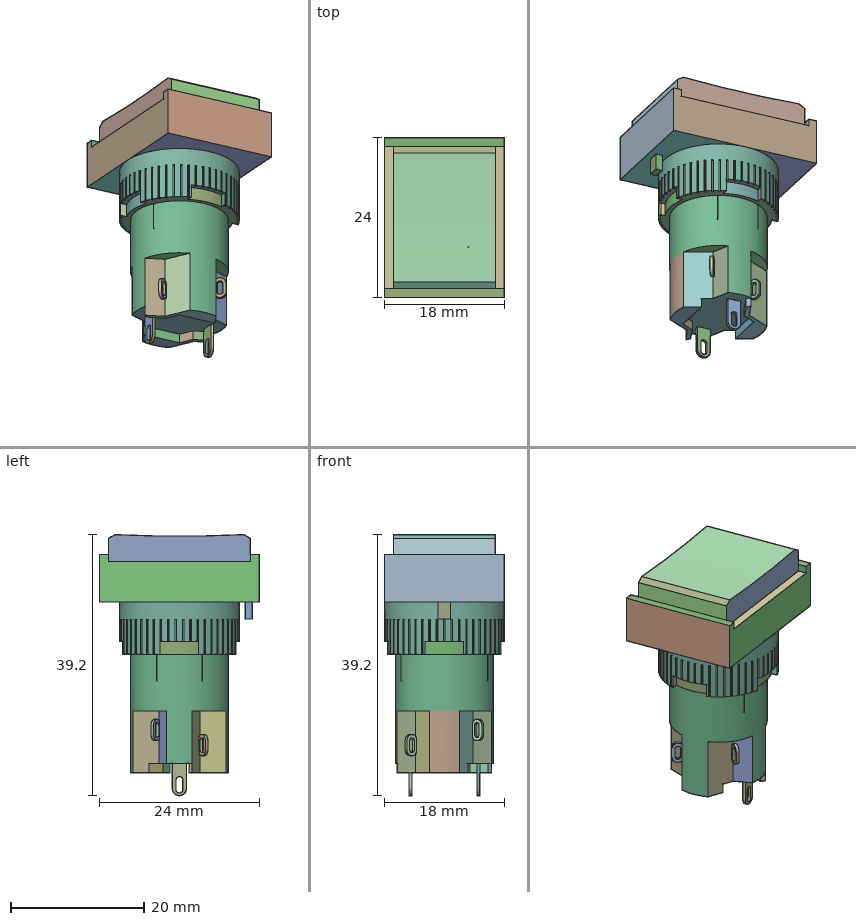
import cadquery as cq
import math


OVERALL_HEIGHT = 39.23

BEZEL_X = 18.0
BEZEL_Y = 24.0
BEZEL_TOP = 7.18
BEZEL_MARGIN = 1.35
CAP_SEAT = 6.1

CAP_X = BEZEL_X - 2 * BEZEL_MARGIN
CAP_Y = BEZEL_Y - 2 * BEZEL_MARGIN
CAP_PEAK = 10.15
CAP_DISH = 0.25
CAP_BEVEL_RUN = 1.0
CAP_BEVEL_DROP = 0.6

KEY_X = 1.9
KEY_Y = 1.05
KEY_DEPTH = 2.55
KEY_OUTER_Y = -10.95

COLLAR_RADIUS = BEZEL_X / 2
COLLAR_BOTTOM = -7.85
COLLAR_ROOT_RADIUS = 8.05
SLOT_COUNT = 50
SLOT_WIDTH = 0.25
SLOT_DEPTH = 0.3
SLOT_TOP = -2.63
COLLAR_NOTCH_WIDTH = 5.8
COLLAR_NOTCH_TOP = -5.9

BARREL_RADIUS = 14.7 / 2
BARREL_BOTTOM = -16.32
TONGUE_WIDTH = 6.75
TONGUE_BOTTOM = -11.85
SLIT_WIDTH = 0.06
SLIT_DEPTH = 0.4

BASE_BOTTOM = -25.6
X_LOBE_HALF_WIDTH = 1.92
Y_LOBE_HALF_WIDTH = 2.28
CORNER_X = 4.3
CORNER_Y = 3.05

RECESS_TOP = -24.2
RECESS_END_Y = 4.6
RECESS_CORNER_X = 3.8
RECESS_CORNER_Y = 2.45
RECESS_NARROW_X = 2.7
RECESS_MOUTH_X = 6.5
RECESS_MOUTH_Y = 1.4

PIN_X = 5.1
PIN_WIDTH = 2.15
PIN_THICKNESS = 0.47
PIN_TIP = CAP_PEAK - OVERALL_HEIGHT
PIN_EYE_WIDTH = 1.0
PIN_EYE_LENGTH = 2.45
PIN_EYE_TOP = -26.2

TAB_INNER_RADIUS = 5.18
TAB_OUTER_RADIUS = 7.05
TAB_THICKNESS = PIN_THICKNESS
TAB_HEIGHT = 3.2
TAB_EYE_WIDTH = 0.85
TAB_HIGH_Z = -19.2
TAB_LOW_Z = -21.45
TAB_ANGLE = math.degrees(math.atan2(CORNER_Y, CORNER_X))


def box_between(x_size, y_size, z_low, z_high, x=0.0, y=0.0):
    """Box centred at (x, y), from z_low to z_high."""
    return cq.Workplane("XY", origin=(x, y, z_low)).rect(x_size, y_size).extrude(z_high - z_low)


def disc_between(radius, z_low, z_high):
    """Cylinder on the Z axis, from z_low to z_high."""
    return cq.Workplane("XY", origin=(0, 0, z_low)).circle(radius).extrude(z_high - z_low)


def make_cap():
    """Cap with bevelled front and back edges and a shallow dished top."""
    half_y = CAP_Y / 2
    peak_y = half_y - CAP_BEVEL_RUN
    shoulder_z = CAP_PEAK - CAP_BEVEL_DROP
    return (
        cq.Workplane("YZ")
        .moveTo(-half_y, CAP_SEAT)
        .lineTo(half_y, CAP_SEAT)
        .lineTo(half_y, shoulder_z)
        .lineTo(peak_y, CAP_PEAK)
        .threePointArc((0, CAP_PEAK - CAP_DISH), (-peak_y, CAP_PEAK))
        .lineTo(-half_y, shoulder_z)
        .close()
        .extrude(CAP_X / 2, both=True)
    )


def make_bezel():
    """Block whose channel along X holds the cap, with the key under its front edge."""
    block = box_between(BEZEL_X, BEZEL_Y, 0, BEZEL_TOP)
    channel = box_between(BEZEL_X, CAP_Y, CAP_SEAT, BEZEL_TOP)
    key = box_between(KEY_X, KEY_Y, -KEY_DEPTH, 0, y=KEY_OUTER_Y + KEY_Y / 2)
    return block.cut(channel).union(key)


def make_collar():
    """Ring with knurling slots and four notches that open its lower rim down to the root."""
    collar = disc_between(COLLAR_RADIUS, COLLAR_BOTTOM, 0)
    slots = (
        cq.Workplane("XY", origin=(0, 0, COLLAR_BOTTOM))
        .polarArray(COLLAR_RADIUS, -90, 360, SLOT_COUNT)
        .rect(2 * SLOT_DEPTH, SLOT_WIDTH)
        .extrude(SLOT_TOP - COLLAR_BOTTOM)
    )
    notch_length = 2 * COLLAR_RADIUS
    notches = box_between(notch_length, COLLAR_NOTCH_WIDTH, COLLAR_BOTTOM, COLLAR_NOTCH_TOP).union(
        box_between(COLLAR_NOTCH_WIDTH, notch_length, COLLAR_BOTTOM, COLLAR_NOTCH_TOP)
    )
    root = disc_between(COLLAR_ROOT_RADIUS, COLLAR_BOTTOM, COLLAR_NOTCH_TOP)
    return collar.cut(slots).cut(notches).union(root)


def make_barrel():
    """Round barrel with two narrow slits on each X side that leave a latch tongue between them."""
    barrel = disc_between(BARREL_RADIUS, BARREL_BOTTOM, COLLAR_BOTTOM)
    slit_y = (TONGUE_WIDTH + SLIT_WIDTH) / 2
    slit_x = math.sqrt(BARREL_RADIUS**2 - slit_y**2)
    for x in (-slit_x, slit_x):
        for y in (-slit_y, slit_y):
            slit = box_between(2 * SLIT_DEPTH, SLIT_WIDTH, TONGUE_BOTTOM, COLLAR_BOTTOM, x, y)
            barrel = barrel.cut(slit)
    return barrel


def make_base():
    """Cross-shaped base with round lobe ends; the X lobes and a recess stop short of the bottom."""
    x_lobe_end = math.sqrt(BARREL_RADIUS**2 - X_LOBE_HALF_WIDTH**2)
    y_lobe_end = math.sqrt(BARREL_RADIUS**2 - Y_LOBE_HALF_WIDTH**2)
    base = (
        cq.Workplane("XY", origin=(0, 0, BASE_BOTTOM))
        .moveTo(x_lobe_end, -X_LOBE_HALF_WIDTH)
        .threePointArc((BARREL_RADIUS, 0), (x_lobe_end, X_LOBE_HALF_WIDTH))
        .lineTo(CORNER_X, CORNER_Y)
        .lineTo(Y_LOBE_HALF_WIDTH, y_lobe_end)
        .threePointArc((0, BARREL_RADIUS), (-Y_LOBE_HALF_WIDTH, y_lobe_end))
        .lineTo(-CORNER_X, CORNER_Y)
        .lineTo(-x_lobe_end, X_LOBE_HALF_WIDTH)
        .threePointArc((-BARREL_RADIUS, 0), (-x_lobe_end, -X_LOBE_HALF_WIDTH))
        .lineTo(-CORNER_X, -CORNER_Y)
        .lineTo(-Y_LOBE_HALF_WIDTH, -y_lobe_end)
        .threePointArc((0, -BARREL_RADIUS), (Y_LOBE_HALF_WIDTH, -y_lobe_end))
        .lineTo(CORNER_X, -CORNER_Y)
        .close()
        .extrude(BARREL_BOTTOM - BASE_BOTTOM)
    )
    half_outline = [
        (COLLAR_RADIUS, -RECESS_END_Y),
        (COLLAR_RADIUS, RECESS_MOUTH_Y),
        (x_lobe_end, X_LOBE_HALF_WIDTH),
        (RECESS_MOUTH_X, RECESS_MOUTH_Y),
        (RECESS_CORNER_X, RECESS_CORNER_Y),
        (RECESS_NARROW_X, RECESS_END_Y),
    ]
    turned_half = [(-x, -y) for x, y in half_outline]
    recess = (
        cq.Workplane("XY", origin=(0, 0, BASE_BOTTOM))
        .polyline(half_outline + turned_half)
        .close()
        .extrude(RECESS_TOP - BASE_BOTTOM)
    )
    return base.cut(recess)


def make_pin(x):
    """Flat bottom terminal with a round tip and an eye."""
    tip_radius = PIN_WIDTH / 2
    tip_z = PIN_TIP + tip_radius
    plane = cq.Workplane("YZ", origin=(x, 0, 0))
    blade = (
        plane.moveTo(-tip_radius, RECESS_TOP)
        .lineTo(-tip_radius, tip_z)
        .threePointArc((0, PIN_TIP), (tip_radius, tip_z))
        .lineTo(tip_radius, RECESS_TOP)
        .close()
        .extrude(PIN_THICKNESS / 2, both=True)
    )
    eye = (
        plane.center(0, PIN_EYE_TOP - PIN_EYE_LENGTH / 2)
        .slot2D(PIN_EYE_LENGTH, PIN_EYE_WIDTH, 90)
        .extrude(PIN_THICKNESS, both=True)
    )
    return blade.cut(eye)


def make_side_tab(angle, z):
    """Upright oval ring standing radially in a corner of the base, at the given angle about Z."""
    width = TAB_OUTER_RADIUS - TAB_INNER_RADIUS
    eye_height = TAB_HEIGHT - width + TAB_EYE_WIDTH
    plane = cq.Workplane("XZ").center((TAB_INNER_RADIUS + TAB_OUTER_RADIUS) / 2, z)
    oval = plane.slot2D(TAB_HEIGHT, width, 90).extrude(TAB_THICKNESS / 2, both=True)
    eye = plane.slot2D(eye_height, TAB_EYE_WIDTH, 90).extrude(TAB_THICKNESS, both=True)
    return oval.cut(eye).rotate((0, 0, 0), (0, 0, 1), angle)


def make_housing():
    """Bezel, collar, barrel, base and terminals as one solid."""
    housing = make_bezel().union(make_collar()).union(make_barrel()).union(make_base())
    for side in (-1, 1):
        housing = housing.union(make_pin(side * PIN_X))
    for turn in (0, 180):
        housing = housing.union(make_side_tab(turn + TAB_ANGLE, TAB_LOW_Z))
        housing = housing.union(make_side_tab(turn - TAB_ANGLE, TAB_HIGH_Z))
    return housing


cap = make_cap()
housing = make_housing()

result = cq.Compound.makeCompound([housing.val(), cap.val()])